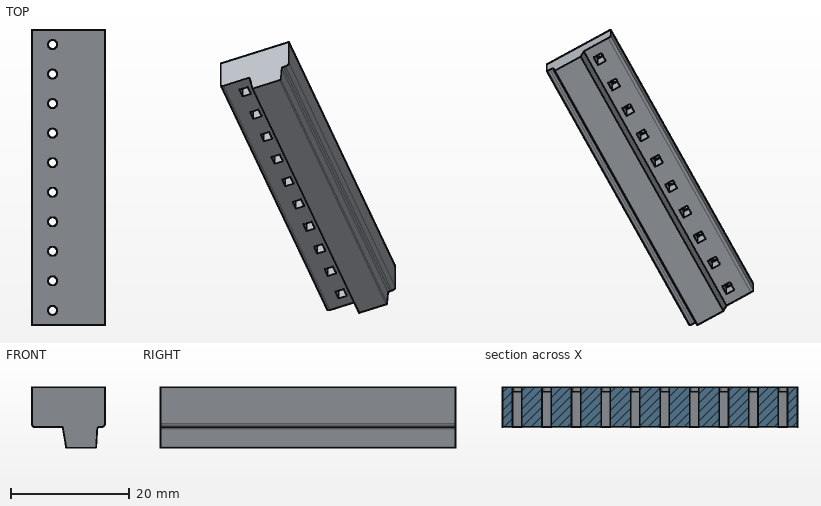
import cadquery as cq

length = 50.0
width = 12.4
height = 10.3

bar_height = 6.8
rib_left_at_bar = 5.2
rib_left_at_tip = 5.8
rib_right_at_bar = 11.1
rib_right_at_tip = 10.9
left_edge_radius = 0.5
right_edge_radius = 0.65
rib_root_radius = 0.3
rib_tip_radius = 0.2

opening_count = 10
opening_pitch = length / opening_count
opening_from_left = 3.5
mouth_diameter = 1.5
mouth_depth = 0.8
passage_side = mouth_diameter

left = -width / 2
right = width / 2
top = height / 2
bottom = -height / 2
ledge = top - bar_height
rib_root_x = left + rib_right_at_bar
rib_tip_x = left + rib_right_at_tip


def round_edge(body, x, z, radius):
    """Round the lengthwise edge that passes through (x, z)."""
    nearest = cq.selectors.NearestToPointSelector((x, 0, z))
    return body.edges("|Y").edges(nearest).fillet(radius)


def make_body():
    """Extrude the cross-section along Y and round its lengthwise edges."""
    outline = [
        (left, top),
        (right, top),
        (right, ledge),
        (rib_root_x, ledge),
        (rib_tip_x, bottom),
        (left + rib_left_at_tip, bottom),
        (left + rib_left_at_bar, ledge),
        (left, ledge),
    ]
    body = cq.Workplane("XZ").polyline(outline).close().extrude(length / 2, both=True)
    body = round_edge(body, left, ledge, left_edge_radius)
    body = round_edge(body, right, ledge, right_edge_radius)
    body = round_edge(body, rib_root_x, ledge, rib_root_radius)
    return round_edge(body, rib_tip_x, bottom, rib_tip_radius)


def opening_centres(z):
    """Workplane at height z with a point at each opening, evenly spaced along Y."""
    plane = cq.Workplane("XY", origin=(left + opening_from_left, 0, z))
    return plane.rarray(0.5, opening_pitch, 1, opening_count)


def cut_openings(body):
    """Cut the round mouths from the top and the square passages from below."""
    mouths = opening_centres(top).circle(mouth_diameter / 2).extrude(-mouth_depth)
    passage_height = bar_height - mouth_depth
    passages = opening_centres(ledge).rect(passage_side, passage_side).extrude(passage_height)
    return body.cut(mouths).cut(passages)


result = cut_openings(make_body())